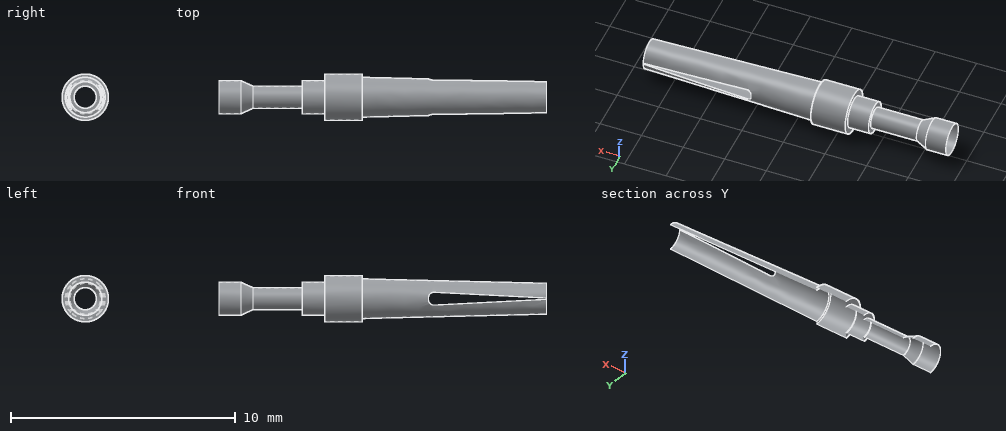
import cadquery as cq

CUP_END = 0.98
CONE_END = 1.52
NECK_END = 3.7
COLLAR_END = 4.71
FLANGE_END = 6.39
LENGTH = 14.58

CUP_DIAMETER = 1.5
NECK_DIAMETER = 1.0
COLLAR_DIAMETER = CUP_DIAMETER
FLANGE_DIAMETER = 2.08
BARREL_ROOT_DIAMETER = 1.8
BARREL_TIP_DIAMETER = 1.4

WALL = 0.022

SLOT_START = 9.33
SLOT_ROOT_WIDTH = 0.58
SLOT_TIP_WIDTH = 0.05
SLOT_CORNER_RADIUS = 0.23


def revolve_about_x(profile):
    """Turn a closed (x, radius) profile into a solid around the X axis."""
    return cq.Workplane("XY").polyline(profile).close().revolve(360, (0, 0), (1, 0))


def make_outer_body():
    cup_radius = CUP_DIAMETER / 2
    neck_radius = NECK_DIAMETER / 2
    collar_radius = COLLAR_DIAMETER / 2
    flange_radius = FLANGE_DIAMETER / 2
    return revolve_about_x([
        (0, 0),
        (0, cup_radius),
        (CUP_END, cup_radius),
        (CONE_END, neck_radius),
        (NECK_END, neck_radius),
        (NECK_END, collar_radius),
        (COLLAR_END, collar_radius),
        (COLLAR_END, flange_radius),
        (FLANGE_END, flange_radius),
        (FLANGE_END, BARREL_ROOT_DIAMETER / 2),
        (LENGTH, BARREL_TIP_DIAMETER / 2),
        (LENGTH, 0),
    ])


def make_cavity():
    """Inner space one wall inside the body, open at both ends."""
    cup_radius = CUP_DIAMETER / 2 - WALL
    neck_radius = NECK_DIAMETER / 2 - WALL
    collar_radius = COLLAR_DIAMETER / 2 - WALL
    flange_radius = FLANGE_DIAMETER / 2 - WALL
    return revolve_about_x([
        (0, 0),
        (0, cup_radius),
        (CUP_END, cup_radius),
        (CONE_END, neck_radius),
        (NECK_END + WALL, neck_radius),
        (NECK_END + WALL, collar_radius),
        (COLLAR_END + WALL, collar_radius),
        (COLLAR_END + WALL, flange_radius),
        (FLANGE_END - WALL, flange_radius),
        (FLANGE_END - WALL, BARREL_ROOT_DIAMETER / 2 - WALL),
        (LENGTH, BARREL_TIP_DIAMETER / 2 - WALL),
        (LENGTH, 0),
    ])


def make_slot():
    """Tapering slot through both sides of the barrel, rounded at its root."""
    root = SLOT_ROOT_WIDTH / 2
    tip = SLOT_TIP_WIDTH / 2
    outline = [(SLOT_START, -root), (LENGTH, -tip), (LENGTH, tip), (SLOT_START, root)]
    return (
        cq.Workplane("XZ")
        .polyline(outline)
        .close()
        .extrude(FLANGE_DIAMETER / 2, both=True)
        .edges("|Y and <X")
        .fillet(SLOT_CORNER_RADIUS)
    )


result = make_outer_body().cut(make_cavity()).cut(make_slot())